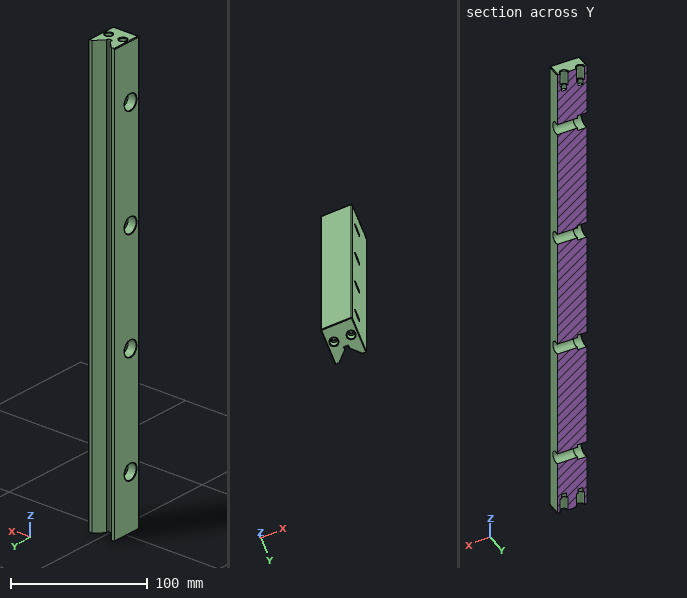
import cadquery as cq

width = 25.0
depth = 28.0
length = 400.0
edge_chamfer = 0.6

flat_width = 3.0
slot_width = 3.5
groove_depth = 9.5

hole_count = 4
hole_pitch = length / hole_count
hole_inset = 10.0
bore_diameter = 9.5
counterbore_diameter = 13.5
counterbore_depth = 8.0
counterbore_chamfer = 0.5

end_hole_spacing = 13.5
end_hole_inset = 12.0
thread_diameter = 6.0
thread_depth = 12.0
thread_chamfer = 0.6
core_diameter = 4.0
core_depth = 16.0

front_y = -depth / 2
back_y = depth / 2


def make_body():
    body = cq.Workplane("XY").box(width, depth, length, centered=(True, True, False))
    body = body.edges("|Z and <Y").chamfer(edge_chamfer)
    return body.faces("<Z or >Z").edges("not >Y").chamfer(edge_chamfer)


def make_groove():
    half_opening = width / 2 - flat_width
    half_slot = slot_width / 2
    flank_end_y = back_y - (half_opening - half_slot)
    floor_y = back_y - groove_depth
    outline = [
        (-half_opening, back_y),
        (-half_slot, flank_end_y),
        (-half_slot, floor_y),
        (half_slot, floor_y),
        (half_slot, flank_end_y),
        (half_opening, back_y),
    ]
    return cq.Workplane("XY").polyline(outline).close().extrude(length)


def make_chamfered_hole(diameter, hole_depth, rim_chamfer):
    """Cutter going down from the origin, widened at the top by its rim chamfer."""
    radius = diameter / 2
    profile = [
        (0, 0),
        (radius + rim_chamfer, 0),
        (radius, -rim_chamfer),
        (radius, -hole_depth),
        (0, -hole_depth),
    ]
    return cq.Workplane("XZ").polyline(profile).close().revolve(360, (0, 0, 0), (0, 1, 0))


def make_mounting_hole():
    """Cutter entering the -X side and running in +X."""
    bore = cq.Workplane("XY").circle(bore_diameter / 2).extrude(-width)
    counterbore = make_chamfered_hole(counterbore_diameter, counterbore_depth, counterbore_chamfer)
    cutter = bore.union(counterbore)
    return cutter.rotate((0, 0, 0), (0, 1, 0), -90).translate((-width / 2, 0, 0))


def make_end_hole():
    """Cutter entering the top end and running down."""
    core = cq.Workplane("XY").circle(core_diameter / 2).extrude(-core_depth)
    thread = make_chamfered_hole(thread_diameter, thread_depth, thread_chamfer)
    return core.union(thread).translate((0, 0, length))


result = make_body().cut(make_groove())

mounting_hole = make_mounting_hole()
for index in range(hole_count):
    hole_z = (index + 0.5) * hole_pitch
    result = result.cut(mounting_hole.translate((0, front_y + hole_inset, hole_z)))

top_hole = make_end_hole()
bottom_hole = top_hole.mirror("XY", (0, 0, length / 2))
for hole_x in (-end_hole_spacing / 2, end_hole_spacing / 2):
    for end_hole in (top_hole, bottom_hole):
        result = result.cut(end_hole.translate((hole_x, front_y + end_hole_inset, 0)))